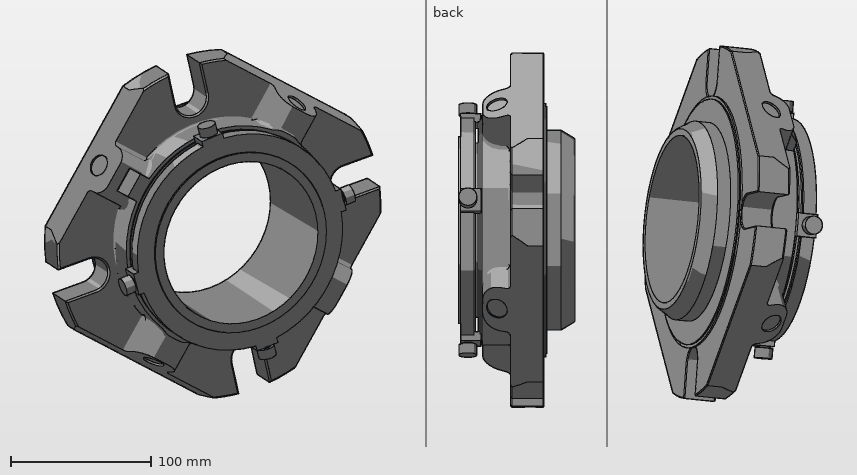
import cadquery as cq
import math


chamfer_end = 1.0
cone_end = 10.0
gasket_x = 20.0
gasket_step_x = 21.0
plate_front = 22.2
slant_start = 33.9
plate_back = 46.2
hub_end = 66.5
collar_end = 67.7
gap_start = 69.2
gap_end = 71.0
ring_start = 72.0
ring_end = 81.5
total_length = 83.5

bore_radius = 120.0 / 2
sleeve_radius = 124.5 / 2
front_face_radius = 64.7
nose_radius = 131.6 / 2
spigot_radius = 142.5 / 2
gasket_small_radius = 176.0 / 2
gasket_radius = 180.7 / 2
hub_radius = 81.9
collar_radius = 158.7 / 2
ring_radius = 160.2 / 2
shoulder_radius = 77.5
end_lip_radius = 66.7
hub_fillet = 1.3

plate_radius = 126.3
flat_distance = 112.7
flat_angle = 32.0
slant_angle = 18.0
front_edge_chamfer = 0.8
back_edge_chamfer = 1.3
slot_angle = 77.4
slot_width = 24.5
slot_end_center = 101.5

boss_half_width = 18.2
boss_root = 75.8
boss_flare = 3.0
boss_hub_fillet = 3.5
tall_boss_top = 66.0
tall_boss_corner = 12.6
low_boss_top = 60.0
low_boss_corner = 9.3
port_diameter = 15.5
port_depth = 1.5
port_inset = 10.0
low_port_inset = 16.7

lug_width = 18.5
lug_top = 96.0
lug_shelf = 1.0
lug_slope = 50.0

clip_angle = 75.0
clip_start = 67.2
clip_width = 16.7
clip_inner = 77.0
clip_outer = 83.6
screw_x = 76.5
screw_head_diameter = 13.0
screw_shank_diameter = 8.0
screw_head_base = 85.0
screw_head_top = 92.2

quarter_turns = [0, 90, 180, 270]
overlap = 2.5


def turned(shape, angle):
    """Turn a shape that points along -Y about the X axis, toward +Z."""
    return shape.rotate((0, 0, 0), (1, 0, 0), -angle)


def slanted_face_radius(x):
    """Distance of a flat's slanted half from the axis at station x."""
    return flat_distance - (x - slant_start) * math.tan(math.radians(slant_angle))


def turned_body():
    fillet_mid = hub_fillet * (1 - math.sqrt(0.5))
    profile = (
        cq.Workplane("XY")
        .moveTo(0, bore_radius)
        .lineTo(0, front_face_radius)
        .lineTo(chamfer_end, nose_radius)
        .lineTo(cone_end, spigot_radius)
        .lineTo(gasket_x, spigot_radius)
        .lineTo(gasket_x, gasket_small_radius)
        .lineTo(gasket_step_x, gasket_small_radius)
        .lineTo(gasket_step_x, gasket_radius)
        .lineTo(plate_front, gasket_radius)
        .lineTo(plate_front, hub_radius + hub_fillet)
        .lineTo(plate_back, hub_radius + hub_fillet)
        .threePointArc(
            (plate_back + fillet_mid, hub_radius + fillet_mid),
            (plate_back + hub_fillet, hub_radius),
        )
        .lineTo(hub_end, hub_radius)
        .lineTo(hub_end, collar_radius)
        .lineTo(collar_end, collar_radius)
        .lineTo(collar_end, shoulder_radius)
        .lineTo(gap_start, shoulder_radius)
        .lineTo(gap_start, sleeve_radius)
        .lineTo(gap_end, sleeve_radius)
        .lineTo(gap_end, shoulder_radius)
        .lineTo(ring_start, shoulder_radius)
        .lineTo(ring_start, ring_radius)
        .lineTo(ring_end, ring_radius)
        .lineTo(ring_end, end_lip_radius)
        .lineTo(total_length, end_lip_radius)
        .lineTo(total_length, bore_radius)
        .close()
    )
    return profile.revolve(360, (0, 0, 0), (1, 0, 0))


def flat_cutter():
    """Everything outside one flat: straight at the front, slanted behind."""
    front_x = plate_front - overlap
    back_x = hub_end + overlap
    outside = plate_radius + overlap
    return (
        cq.Workplane("XY")
        .polyline([
            (front_x, -flat_distance),
            (slant_start, -flat_distance),
            (back_x, -slanted_face_radius(back_x)),
            (back_x, -outside),
            (front_x, -outside),
        ])
        .close()
        .extrude(plate_radius, both=True)
    )


def slot_cutter():
    """Open slot with a full-round inner end."""
    half = slot_width / 2
    mouth = plate_radius + overlap
    return (
        cq.Workplane("YZ", origin=(plate_front, 0, 0))
        .moveTo(-mouth, -half)
        .lineTo(-slot_end_center, -half)
        .threePointArc((-slot_end_center + half, 0), (-slot_end_center, half))
        .lineTo(-mouth, half)
        .close()
        .extrude(plate_back - plate_front)
    )


def plate():
    blank = (
        cq.Workplane("YZ", origin=(plate_front, 0, 0))
        .circle(plate_radius)
        .extrude(plate_back - plate_front)
    )
    flat = (
        cq.Workplane("XY")
        .box(plate_back, plate_radius, 2 * plate_radius, centered=(False, False, True))
        .translate((plate_front, -flat_distance - plate_radius, 0))
    )
    for turn in quarter_turns:
        blank = blank.cut(turned(flat, flat_angle + turn))
        blank = blank.cut(turned(slot_cutter(), slot_angle + turn))
    blank = blank.faces("<X").chamfer(front_edge_chamfer)
    blank = blank.faces(">X").chamfer(back_edge_chamfer)
    bore = cq.Workplane("YZ").circle(hub_radius).extrude(plate_back)
    return blank.cut(bore)


def boss_prism(top, corner, flare):
    """Rounded radial prism standing on the plate's back, with an optional flared foot."""
    corner_mid = corner * (1 - math.sqrt(0.5))
    flare_mid = flare * (1 - math.sqrt(0.5))
    foot = plate_front + overlap
    half = boss_half_width
    wide = half + flare
    outline = (
        cq.Workplane("XZ", origin=(0, -boss_root, 0))
        .moveTo(top - corner, -half)
        .threePointArc((top - corner_mid, -half + corner_mid), (top, -half + corner))
        .lineTo(top, half - corner)
        .threePointArc((top - corner_mid, half - corner_mid), (top - corner, half))
    )
    if flare > 0:
        outline = (
            outline
            .lineTo(plate_back + flare, half)
            .threePointArc((plate_back + flare_mid, half + flare_mid), (plate_back, wide))
            .lineTo(foot, wide)
            .lineTo(foot, -wide)
            .lineTo(plate_back, -wide)
            .threePointArc((plate_back + flare_mid, -half - flare_mid), (plate_back + flare, -half))
        )
    else:
        outline = outline.lineTo(foot, half).lineTo(foot, -half)
    return outline.close().extrude(flat_distance - boss_root)


def boss(top, corner):
    """Port boss with a flared foot and a fillet where it meets the hub."""
    plain = boss_prism(top, corner, 0)
    hub = cq.Workplane("YZ").circle(hub_radius).circle(boss_root).extrude(total_length)
    joined = hub.union(plain)
    seam_box = cq.selectors.BoxSelector(
        (plate_front, -hub_radius - overlap, -plate_radius),
        (total_length - overlap, -boss_root, plate_radius),
    )
    joined = joined.edges(seam_box).fillet(boss_hub_fillet)
    room = (
        cq.Workplane("XY")
        .box(hub_end - plate_back, plate_radius, plate_radius, centered=(False, True, True))
        .translate((plate_back, -plate_radius / 2, 0))
    )
    return joined.intersect(room).union(boss_prism(top, corner, boss_flare))


def port(x):
    """Shallow round seat sunk square into the slanted face at station x."""
    tilt = math.radians(slant_angle)
    outward = cq.Vector(math.sin(tilt), -math.cos(tilt), 0)
    mouth = cq.Vector(x, -slanted_face_radius(x), 0)
    seat = cq.Solid.makeCylinder(port_diameter / 2, 2 * port_depth, mouth - outward * port_depth, outward)
    return cq.Workplane(obj=seat)


def lug():
    """Wedge on the hub, falling away from the top of the low boss."""
    slope_start = low_boss_top + lug_shelf
    drop = (hub_end - slope_start) * math.tan(math.radians(lug_slope))
    return (
        cq.Workplane("XY")
        .polyline([
            (low_boss_top - overlap, -boss_root),
            (low_boss_top - overlap, -lug_top),
            (slope_start, -lug_top),
            (hub_end, -lug_top + drop),
            (hub_end, -boss_root),
        ])
        .close()
        .extrude(lug_width / 2, both=True)
    )


def clip():
    """Block bridging the collar and the ring, held by a cheese-head screw."""
    block = (
        cq.Workplane("XY")
        .box(ring_end - clip_start, clip_outer - clip_inner, clip_width, centered=(False, False, True))
        .translate((clip_start, -clip_outer, 0))
    )
    shank = (
        cq.Workplane("XZ", origin=(screw_x, -clip_inner, 0))
        .circle(screw_shank_diameter / 2)
        .extrude(screw_head_base - clip_inner)
    )
    head = (
        cq.Workplane("XZ", origin=(screw_x, -screw_head_base, 0))
        .circle(screw_head_diameter / 2)
        .extrude(screw_head_top - screw_head_base)
    )
    return block.union(shank).union(head)


flange = turned_body().union(plate())

for turn in quarter_turns:
    angle = flat_angle + turn
    if turn == 0:
        flange = flange.union(turned(boss(low_boss_top, low_boss_corner), angle))
        flange = flange.union(turned(lug(), angle))
    else:
        flange = flange.union(turned(boss(tall_boss_top, tall_boss_corner), angle))

for turn in quarter_turns:
    angle = flat_angle + turn
    port_x = low_boss_top - low_port_inset if turn == 0 else tall_boss_top - port_inset
    flange = flange.cut(turned(flat_cutter(), angle))
    flange = flange.cut(turned(port(port_x), angle))

for turn in quarter_turns:
    flange = flange.union(turned(clip(), clip_angle + turn))

result = flange